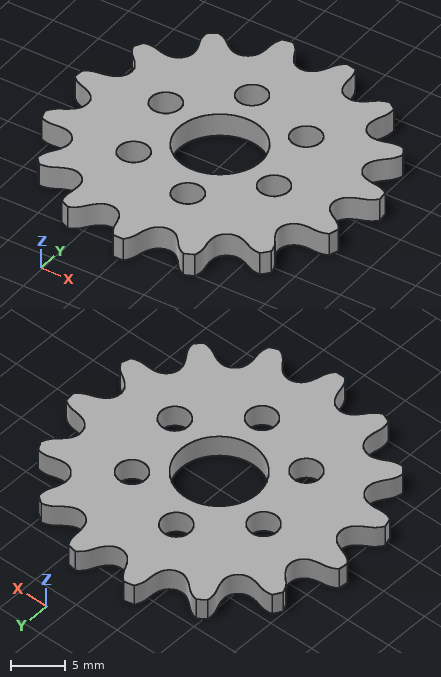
import cadquery as cq
import math

tooth_count = 15
roller_diameter = 3.3
chain_pitch = 6.35
outer_width = 33.65
thickness = 2.5
bore_diameter = 9.12
hole_count = 6
hole_diameter = 3.2
hole_circle_radius = 8.0
first_hole_angle = 42.0

seating_clearance = 0.05
seating_base_angle = 35
seating_angle_term = 60
working_base_angle = 18
working_angle_term = 56
working_offset_ratio = 0.8
topping_offset_ratio = 1.4

half_tooth_angle = math.pi / tooth_count
pitch_radius = chain_pitch / 2 / math.sin(half_tooth_angle)
seating_radius = roller_diameter / 2 + seating_clearance
seating_angle = math.radians(seating_base_angle + seating_angle_term / tooth_count)
working_angle = math.radians(working_base_angle - working_angle_term / tooth_count)
working_center_offset = working_offset_ratio * roller_diameter
topping_center_offset = topping_offset_ratio * roller_diameter
working_radius = seating_radius + working_center_offset


def polar(center, radius, angle):
    """Point at a distance and direction (radians) from a center."""
    return (center[0] + radius * math.cos(angle), center[1] + radius * math.sin(angle))


def turned(point, angle):
    """Point rotated about the sprocket axis."""
    return polar((0, 0), math.hypot(*point), math.atan2(point[1], point[0]) + angle)


def flank_points():
    """Right flank of the gap centered on +Y, from the seat bottom up to the tooth tip."""
    seat = (0, pitch_radius)
    seat_bottom = polar(seat, seating_radius, -math.pi / 2)
    seat_middle = polar(seat, seating_radius, -(math.pi / 2 + seating_angle) / 2)
    seat_end = polar(seat, seating_radius, -seating_angle)

    working_center = polar(seat, -working_center_offset, -seating_angle)
    flank_normal = working_angle - seating_angle
    working_middle = polar(working_center, working_radius, working_angle / 2 - seating_angle)
    working_end = polar(working_center, working_radius, flank_normal)

    topping_center = polar(seat, topping_center_offset, -half_tooth_angle)
    across = topping_center[0] - working_center[0]
    along = topping_center[1] - working_center[1]
    center_gap = across * math.cos(flank_normal) + along * math.sin(flank_normal)
    topping_radius = center_gap - working_radius
    topping_start = polar(topping_center, -topping_radius, flank_normal)

    width_direction = math.pi / 2 - half_tooth_angle / 2
    center_reach = math.hypot(*topping_center) * math.cos(
        width_direction - math.atan2(topping_center[1], topping_center[0])
    )
    tip_direction = width_direction + math.acos((outer_width / 2 - center_reach) / topping_radius)
    tip_corner = polar(topping_center, topping_radius, tip_direction)
    start_direction = flank_normal + math.pi
    topping_middle = polar(topping_center, topping_radius, (start_direction + tip_direction) / 2)

    return [
        seat_bottom, seat_middle, seat_end, working_middle, working_end,
        topping_start, topping_middle, tip_corner,
    ]


def toothed_disc():
    """Disc whose rim repeats one gap and one tooth tip clockwise around the axis."""
    right = flank_points()
    left = [(-x, y) for x, y in right]
    tip_radius = math.hypot(*right[-1])
    outline = cq.Workplane("XY").moveTo(*left[-1])
    for index in range(tooth_count):
        turn = -2 * half_tooth_angle * index
        (seat_bottom, _, seat_end, working_middle, working_end,
         topping_start, topping_middle, tip_corner) = [turned(p, turn) for p in right]
        (_, _, left_seat_end, left_working_middle, left_working_end,
         left_topping_start, left_topping_middle, _) = [turned(p, turn) for p in left]
        tip_middle = polar((0, 0), tip_radius, math.pi / 2 - half_tooth_angle + turn)
        next_corner = turned(left[-1], turn - 2 * half_tooth_angle)
        outline = (
            outline.threePointArc(left_topping_middle, left_topping_start)
            .lineTo(*left_working_end)
            .threePointArc(left_working_middle, left_seat_end)
            .threePointArc(seat_bottom, seat_end)
            .threePointArc(working_middle, working_end)
            .lineTo(*topping_start)
            .threePointArc(topping_middle, tip_corner)
            .threePointArc(tip_middle, next_corner)
        )
    return outline.close().extrude(thickness)


def bolt_holes():
    """Through holes evenly spaced around the bore."""
    return (
        cq.Workplane("XY")
        .polarArray(hole_circle_radius, first_hole_angle, 360, hole_count)
        .circle(hole_diameter / 2)
        .extrude(thickness)
    )


bore = cq.Workplane("XY").circle(bore_diameter / 2).extrude(thickness)
result = toothed_disc().cut(bore).cut(bolt_holes())